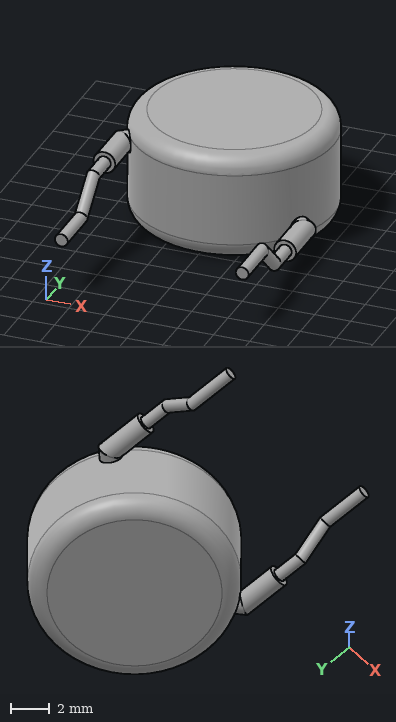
import cadquery as cq
import math

total_length = 17.0
total_width = 11.2

disc_diameter = 11.0
disc_height = 6.0
rim_fillet = 1.0
disc_radius = disc_diameter / 2

lead_spacing = 10.0
lead_diameter = 0.71
sleeve_diameter = total_width - lead_spacing
lead_x = lead_spacing / 2
lead_height = 1.6

elbow_y = -3.03
sleeve_end_y = -disc_radius
first_kink_y = -7.02
second_kink_y = -8.75
tip_y = disc_radius - total_length

elbow_angle = 51.0
arm_length = 2.04
arm_x = -lead_x + arm_length * math.sin(math.radians(elbow_angle))
arm_y = elbow_y + arm_length * math.cos(math.radians(elbow_angle))


def rod(points, diameter):
    """Round rod along a chain of straight stretches with mitred corners, starting along Y."""
    path = cq.Workplane("XY").polyline(points)
    start_plane = cq.Plane(origin=points[0], xDir=(1, 0, 0), normal=(0, 1, 0))
    return cq.Workplane(start_plane).circle(diameter / 2).sweep(path, transition="right")


def left_sleeve():
    """Sleeve on the -X side, above the mid-plane, with its arm ending inside the disc."""
    return rod(
        [
            (-lead_x, sleeve_end_y, lead_height),
            (-lead_x, elbow_y, lead_height),
            (arm_x, arm_y, lead_height),
        ],
        sleeve_diameter,
    )


def left_lead():
    """Lead on the -X side: flat tip on the mid-plane, double kink, then up to the elbow."""
    return rod(
        [
            (-lead_x, tip_y, 0),
            (-lead_x, second_kink_y, 0),
            (-lead_x, first_kink_y, lead_height),
            (-lead_x, elbow_y, lead_height),
        ],
        lead_diameter,
    )


def both_sides(left_part):
    """The -X part and its copy turned half a turn about the Y axis."""
    return [left_part.rotate((0, 0, 0), (0, 1, 0), turn) for turn in (0, 180)]


def coating(leads):
    """Rounded disc with two sleeves, bored to fit the leads."""
    body = cq.Workplane("XY").cylinder(disc_height, disc_radius)
    body = body.faces("|Z").edges().fillet(rim_fillet)
    for sleeve in both_sides(left_sleeve()):
        body = body.union(sleeve)
    for lead in leads:
        body = body.cut(lead)
    return body


leads = both_sides(left_lead())
coated_disc = coating(leads)

result = cq.Compound.makeCompound([coated_disc.solids().val(), *[lead.val() for lead in leads]])